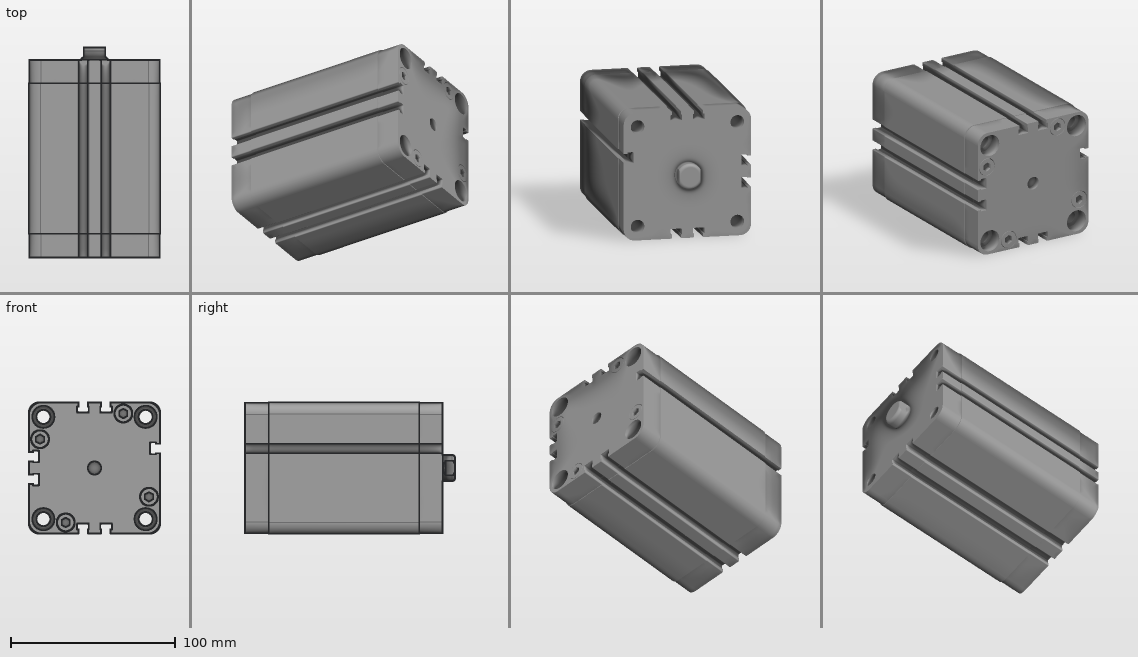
import cadquery as cq
import math

total_length = 127.5
rod_projection = 7.6
rear_cap_length = 14.5
front_cap_length = 14.2
housing_length = total_length - rod_projection
tube_length = housing_length - rear_cap_length - front_cap_length

tube_width = 80.0
cap_inset = 0.4
cap_width = tube_width - 2 * cap_inset
corner_radius = 7.0

slot_offset = 7.0
single_slot_offset = 12.0
slot_width = 7.0
tube_slot_floor = 33.9
cap_slot_floor = tube_slot_floor - cap_inset
lip_underside = 37.2
outer_lip = 0.9
inner_lip = 0.5
slot_mouth_fillet = 0.5
slot_floor_fillet = 0.4

mount_offset = 31.0
mount_diameter = 8.4
counterbore_diameter = 13.5
counterbore_depth = 8.4

screw_long_offset = 33.0
screw_short_offset = 17.5
screw_recess_diameter = 11.1
screw_head_diameter = 10.5
screw_gap_depth = 6.0
hex_across_flats = 5.0
hex_depth = 3.0

centre_hole_diameter = 8.0
centre_hole_depth = 3.8

rod_diameter = 16.0
rod_across_flats = 13.1
flat_length = 5.7
tip_fillet = 2.0


def end_plane(y):
    """Workplane at the given Y: local x = X, local y = Z, extruding towards -Y."""
    return cq.Workplane("XZ", origin=(0, y, 0))


def turned(shape, angle):
    """Shape rotated about the cylinder axis."""
    return shape.rotate((0, 0, 0), (0, 1, 0), angle)


def slot_cutter(center, outer_side, surface, floor, mouth_radius):
    """T-slot cutter for a +Z face at the given surface height.

    The wider lip lies on outer_side (+1 or -1) of the slot center. Both mouth edges are
    rounded with mouth_radius, or left sharp if it is 0.
    """
    outer_wall = center + outer_side * slot_width / 2
    inner_wall = center - outer_side * slot_width / 2
    outer_mouth = outer_wall - outer_side * outer_lip
    inner_mouth = inner_wall + outer_side * inner_lip
    undercut = [
        (outer_mouth, surface),
        (outer_mouth, lip_underside),
        (outer_wall, lip_underside),
        (outer_wall, floor),
        (inner_wall, floor),
        (inner_wall, lip_underside),
        (inner_mouth, lip_underside),
        (inner_mouth, surface),
    ]
    cutter = end_plane(0).polyline(undercut).close().extrude(-housing_length)
    cutter = cutter.edges("|Y and <Z").fillet(slot_floor_fillet)
    if mouth_radius:
        for edge, side in ((outer_mouth, outer_side), (inner_mouth, -outer_side)):
            cutter = cutter.union(mouth_rounding(edge, side, surface, mouth_radius))
    return cutter


def mouth_rounding(edge, side, surface, radius):
    """Sliver between a sharp mouth edge and its rounded form, on the given side of the edge."""
    arc_middle = radius * (1 - math.sqrt(0.5))
    sliver = (
        end_plane(0)
        .moveTo(edge, surface)
        .lineTo(edge, surface - radius)
        .threePointArc((edge + side * arc_middle, surface - arc_middle), (edge + side * radius, surface))
        .close()
    )
    return sliver.extrude(-housing_length)


def slotted_section(width, floor, y_start, length):
    """Square bar with rounded long edges, slot pairs in three faces and a single slot in the +X face."""
    surface = width / 2
    section = end_plane(y_start).rect(width, width).extrude(-length).edges("|Y").fillet(corner_radius)
    for side in (1, -1):
        cutter = slot_cutter(side * slot_offset, side, surface, floor, slot_mouth_fillet)
        for angle in (0, 180, 270):
            section = section.cut(turned(cutter, angle))
    single_cutter = slot_cutter(-single_slot_offset, -1, surface, floor, 0)
    return section.cut(turned(single_cutter, 90))


def make_housing():
    """Tube with a slightly narrower cap at each end."""
    tube_end = rear_cap_length + tube_length
    rear_cap = slotted_section(cap_width, cap_slot_floor, 0, rear_cap_length)
    tube = slotted_section(tube_width, tube_slot_floor, rear_cap_length, tube_length)
    front_cap = slotted_section(cap_width, cap_slot_floor, tube_end, front_cap_length)
    return rear_cap.union(tube).union(front_cap)


def cut_mounting_holes(body):
    """Through holes at the corners, counterbored from the blind end."""
    corners = [(x, z) for x in (-mount_offset, mount_offset) for z in (-mount_offset, mount_offset)]
    holes = end_plane(0).pushPoints(corners).circle(mount_diameter / 2).extrude(-housing_length)
    counterbores = end_plane(0).pushPoints(corners).circle(counterbore_diameter / 2).extrude(-counterbore_depth)
    return body.cut(holes).cut(counterbores)


def cut_screws(body):
    """Flush socket-head screws: a ring gap around each head and a hexagon socket."""
    centers = [
        (screw_short_offset, screw_long_offset),
        (screw_long_offset, -screw_short_offset),
        (-screw_short_offset, -screw_long_offset),
        (-screw_long_offset, screw_short_offset),
    ]
    recesses = end_plane(0).pushPoints(centers).circle(screw_recess_diameter / 2).extrude(-screw_gap_depth)
    heads = end_plane(0).pushPoints(centers).circle(screw_head_diameter / 2).extrude(-screw_gap_depth)
    corner_distance = hex_across_flats / math.sqrt(3)
    hexagon = [
        (corner_distance * math.sin(i * math.pi / 3), corner_distance * math.cos(i * math.pi / 3))
        for i in range(6)
    ]
    body = body.cut(recesses.cut(heads))
    for x, z in centers:
        socket = end_plane(0).center(x, z).polyline(hexagon).close().extrude(-hex_depth)
        body = body.cut(socket)
    return body


def make_rod():
    """Rod end with a rounded tip and two wrench flats that run out on 45 degree ramps."""
    rod_radius = rod_diameter / 2
    flat_offset = rod_across_flats / 2
    flat_start = total_length - flat_length
    ramp = rod_diameter - flat_offset
    rod = end_plane(housing_length).circle(rod_radius).extrude(-rod_projection)
    rod = rod.faces(">Y").edges().fillet(tip_fillet)
    for side in (1, -1):
        flat_points = [
            (side * flat_offset, total_length),
            (side * flat_offset, flat_start),
            (side * rod_diameter, flat_start - ramp),
            (side * rod_diameter, total_length),
        ]
        cutter = cq.Workplane("XY").polyline(flat_points).close().extrude(rod_radius, both=True)
        rod = rod.cut(cutter)
    return rod


housing = cut_mounting_holes(make_housing())
housing = cut_screws(housing)
centre_hole = end_plane(0).circle(centre_hole_diameter / 2).extrude(-centre_hole_depth)
result = housing.cut(centre_hole).union(make_rod())